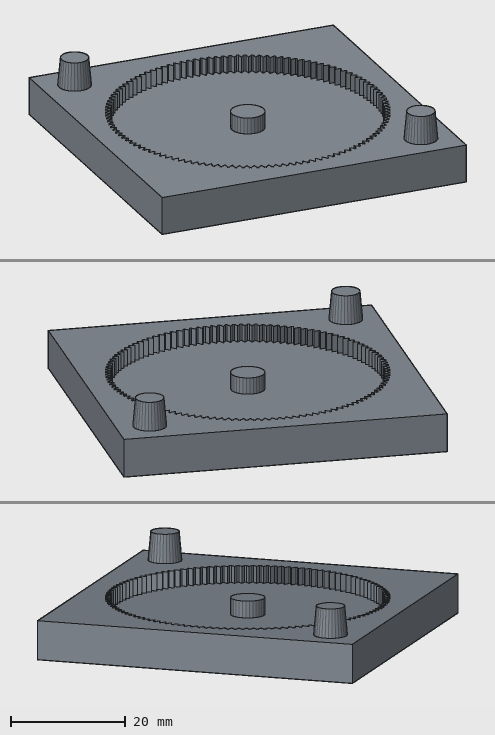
import cadquery as cq
import math

plate_side = 58.0
plate_thickness = 7.0

pocket_depth = 3.0
pocket_floor = plate_thickness - pocket_depth
tooth_count = 120
tooth_tip_radius = 24.0
tooth_root_radius = 24.9
root_width = 0.3

pin_facets = 30

center_pin_radius = 3.0

corner_pin_height = 5.15
corner_pin_base_radius = 2.95
corner_pin_top_radius = 2.5
corner_pin_offset = 22.95


def polar_point(radius, angle):
    return (radius * math.cos(angle), radius * math.sin(angle))


def regular_polygon(radius, sides):
    """Corners of a regular polygon with its first corner on +X."""
    return [polar_point(radius, 2 * math.pi * i / sides) for i in range(sides)]


def toothed_outline():
    """Closed outline of sharp tooth tips pointing inward, with a narrow flat root between them."""
    pitch = 2 * math.pi / tooth_count
    half_root = root_width / (2 * tooth_root_radius)
    points = []
    for tooth in range(tooth_count):
        tip_angle = tooth * pitch
        root_angle = tip_angle + pitch / 2
        points.append(polar_point(tooth_tip_radius, tip_angle))
        points.append(polar_point(tooth_root_radius, root_angle - half_root))
        points.append(polar_point(tooth_root_radius, root_angle + half_root))
    return points


def make_plate():
    block = cq.Workplane("XY").box(plate_side, plate_side, plate_thickness, centered=(True, True, False))
    pocket = cq.Workplane("XY").workplane(offset=pocket_floor).polyline(toothed_outline()).close()
    return block.cut(pocket.extrude(pocket_depth))


def make_center_pin():
    outline = regular_polygon(center_pin_radius, pin_facets)
    return cq.Workplane("XY").workplane(offset=pocket_floor).polyline(outline).close().extrude(pocket_depth)


def make_corner_pin(x, y):
    """Faceted pin that narrows from the plate top to its free end."""
    base_outline = regular_polygon(corner_pin_base_radius, pin_facets)
    top_outline = regular_polygon(corner_pin_top_radius, pin_facets)
    base = cq.Workplane("XY").polyline(base_outline).close()
    top = base.workplane(offset=corner_pin_height).polyline(top_outline).close()
    return top.loft(ruled=True).translate((x, y, plate_thickness))


plate = make_plate()
center_pin = make_center_pin()
corner_pins = [make_corner_pin(offset, offset) for offset in (-corner_pin_offset, corner_pin_offset)]

result = cq.Compound.makeCompound([plate.val(), center_pin.val(), *[pin.val() for pin in corner_pins]])